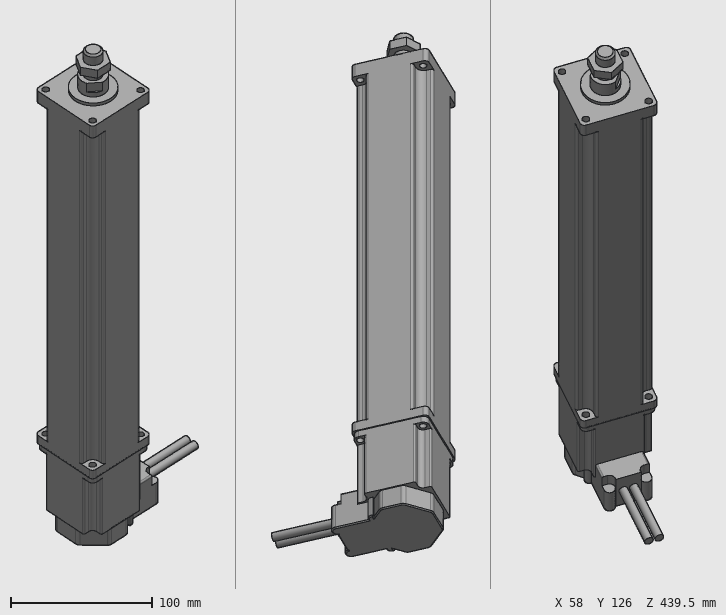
import cadquery as cq
import math

total_height = 439.5
cylinder_width = 58.0
motor_width = 56.3
cover_width = 54.5

cover_top = 16.5
notch_top = 68.5
motor_top = 74.0
lower_flange_top = 81.7
upper_flange_bottom = 390.5
upper_flange_top = 401.5
pilot_top = 404.5

hole_place = 23.7
hole_diameter = 5.3
flange_corner_radius = 3.3
motor_corner_radius = 4.5
tube_groove_center = 24.0
tube_groove_wall = 18.0
tube_lip_radius = 1.98
motor_groove_center = 23.5
motor_groove_wall = 19.5
motor_lip_radius = 1.5

pilot_diameter = 35.0
rod_diameter = 22.0
rod_shoulder = 416.0
thread_diameter = 14.0
thread_chamfer = 1.55
nut_across_flats = 22.0
nut_bottom = 423.0
nut_top = 430.3
wrench_flat_bottom = 408.5
wrench_flats_width = 19.0
wrench_flats_angle = -38.0

cover_front = -26.5
cover_side_start = -10.0
cover_side_end = 7.5
cover_back_width = 33.5
cover_bend_radius = 4.5
bottom_chamfer = 1.0
block_width = 36.0
block_end = 46.0
block_top = 30.0
block_edge_radius = 1.5
ear_y = 45.0
ear_diameter = 8.5
ear_x = (block_width - ear_diameter) / 2
ear_top = 20.5
lug_start = 15.0
lug_end = 19.8
lug_reach = 22.0
lug_radius = 3.5

cable_diameter = 6.5
cable_spacing = 8.0
cable_height = 16.3
cable_end = 97.0

corner_angles = [0, 90, 180, 270]


def square_block(width, bottom, top):
    return cq.Workplane("XY", origin=(0, 0, bottom)).rect(width, width).extrude(top - bottom)


def box_between(corner, opposite):
    """Box given by two opposite corners, in any order along each axis."""
    low = [min(pair) for pair in zip(corner, opposite)]
    size = [abs(a - b) for a, b in zip(corner, opposite)]
    return cq.Workplane("XY", origin=tuple(low)).box(*size, centered=False)


def upright_cylinder(diameter, bottom, top, x=0, y=0):
    return cq.Workplane("XY", origin=(x, y, bottom)).circle(diameter / 2).extrude(top - bottom)


def cut_corner_grooves(body, width, center, wall, lip_radius, bottom, top):
    """Cut a round-bottomed groove with rounded lips along each corner of a square body."""
    half = width / 2
    diagonal = math.sqrt(0.5)
    lip_mid = lip_radius * (1 - diagonal)
    arc_mid = center - (center - wall) * diagonal
    cutter = (
        cq.Workplane("XY", origin=(0, 0, bottom))
        .moveTo(wall - lip_radius, half)
        .threePointArc((wall - lip_mid, half - lip_mid), (wall, half - lip_radius))
        .lineTo(wall, center)
        .threePointArc((arc_mid, arc_mid), (center, wall))
        .lineTo(half - lip_radius, wall)
        .threePointArc((half - lip_mid, wall - lip_mid), (half, wall - lip_radius))
        .lineTo(half, half)
        .close()
        .extrude(top - bottom)
    )
    for angle in corner_angles:
        body = body.cut(cutter.rotate((0, 0, 0), (0, 0, 1), angle))
    return body


def cut_mounting_holes(body):
    for x in (-hole_place, hole_place):
        for y in (-hole_place, hole_place):
            body = body.cut(upright_cylinder(hole_diameter, 0, total_height, x, y))
    return body


def make_rod():
    """Rod with two wrench flats, threaded end and hexagonal nut."""
    rod = upright_cylinder(rod_diameter, upper_flange_top, rod_shoulder)
    flats = (
        cq.Workplane("XY", origin=(0, 0, wrench_flat_bottom))
        .rect(wrench_flats_width, 2 * rod_diameter)
        .extrude(rod_shoulder - wrench_flat_bottom)
        .rotate((0, 0, 0), (0, 0, 1), wrench_flats_angle)
    )
    round_part = upright_cylinder(rod_diameter, upper_flange_top, wrench_flat_bottom)
    rod = rod.intersect(flats.union(round_part))
    thread = upright_cylinder(thread_diameter, rod_shoulder, total_height)
    thread = thread.faces(">Z").chamfer(thread_chamfer)
    nut = (
        cq.Workplane("XY", origin=(0, 0, nut_bottom))
        .polygon(6, nut_across_flats, circumscribed=True)
        .extrude(nut_top - nut_bottom)
    )
    return rod.union(thread).union(nut)


def make_flange(bottom, top):
    return square_block(cylinder_width, bottom, top).edges("|Z").fillet(flange_corner_radius)


def make_cylinder():
    tube = square_block(cylinder_width, lower_flange_top, upper_flange_bottom)
    tube = cut_corner_grooves(
        tube,
        cylinder_width,
        tube_groove_center,
        tube_groove_wall,
        tube_lip_radius,
        lower_flange_top,
        upper_flange_bottom,
    )
    lower_flange = make_flange(motor_top, lower_flange_top)
    upper_flange = make_flange(upper_flange_bottom, upper_flange_top)
    pilot = upright_cylinder(pilot_diameter, upper_flange_top, pilot_top)
    housing = cut_mounting_holes(tube.union(lower_flange).union(upper_flange))
    return housing.union(pilot).union(make_rod())


def make_cover():
    """End cover with 45 degree corners and rounded upright edges; its back joins the block."""
    side_x = cover_width / 2
    front_x = side_x - (cover_side_start - cover_front)
    back_x = cover_back_width / 2
    back_y = cover_side_end + (side_x - back_x)
    return (
        cq.Workplane("XY")
        .moveTo(front_x, cover_front)
        .lineTo(side_x, cover_side_start)
        .lineTo(side_x, cover_side_end)
        .lineTo(back_x, back_y)
        .lineTo(-back_x, back_y)
        .lineTo(-side_x, cover_side_end)
        .lineTo(-side_x, cover_side_start)
        .lineTo(-front_x, cover_front)
        .close()
        .extrude(cover_top)
        .edges("|Z")
        .edges("not >Y")
        .fillet(cover_bend_radius)
        .faces("<Z")
        .chamfer(bottom_chamfer)
    )


def make_connector_block():
    """Block behind the cover, with a round ear and a pocket above it at each far corner."""
    block = (
        cq.Workplane("XY")
        .center(0, block_end / 2)
        .rect(block_width, block_end)
        .extrude(block_top)
        .edges("|Y and >Z")
        .fillet(block_edge_radius)
        .faces("<Z")
        .chamfer(bottom_chamfer)
    )
    radius = ear_diameter / 2
    reach = ear_x + 2 * radius
    for side in (-1, 1):
        x = side * ear_x
        pocket = upright_cylinder(ear_diameter, ear_top, block_top, x, ear_y)
        open_side = box_between((x, ear_y - radius, ear_top), (side * reach, block_end, block_top))
        open_end = box_between((x - side * radius, ear_y, 0), (side * reach, block_end, block_top))
        ear = upright_cylinder(ear_diameter, 0, ear_top, x, ear_y)
        ear = ear.faces("<Z").chamfer(bottom_chamfer)
        block = block.cut(pocket).cut(open_side).cut(open_end).union(ear)
    return block


def make_lugs():
    """Rounded lugs where the connector block joins the octagonal cover."""
    return (
        cq.Workplane("XY")
        .center(0, (lug_start + lug_end) / 2)
        .rect(2 * lug_reach, lug_end - lug_start)
        .extrude(cover_top)
        .edges("|Z and >Y")
        .fillet(lug_radius)
        .faces("<Z")
        .chamfer(bottom_chamfer)
    )


def make_cable(x):
    """Straight cable that starts inside the connector block."""
    start = block_end - cable_diameter
    return (
        cq.Workplane("XZ", origin=(x, start, cable_height))
        .circle(cable_diameter / 2)
        .extrude(start - cable_end)
    )


def make_motor():
    case = square_block(motor_width, cover_top, motor_top).edges("|Z").fillet(motor_corner_radius)
    case = cut_corner_grooves(
        case,
        motor_width,
        motor_groove_center,
        motor_groove_wall,
        motor_lip_radius,
        cover_top,
        notch_top,
    )
    case = cut_mounting_holes(case)
    base = make_cover().union(make_lugs()).union(make_connector_block())
    motor = case.union(base)
    for x in (-cable_spacing / 2, cable_spacing / 2):
        motor = motor.union(make_cable(x))
    return motor


cylinder = make_cylinder().solids()
motor = make_motor().solids()
result = cq.Compound.makeCompound([cylinder.val(), motor.val()])